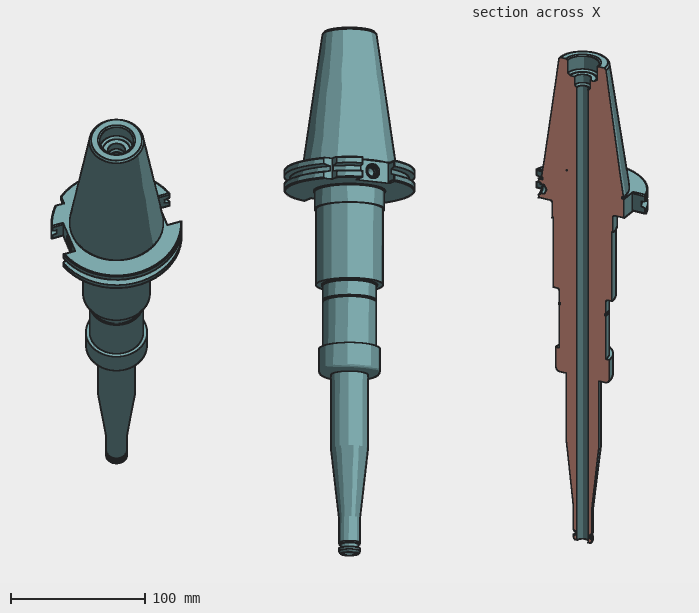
import cadquery as cq
import math

total_length = 397.5
gauge_z = 294.5
collar_z = 294.0
flange_top_z = 292.5
flange_bottom_z = 276.7
shoulder_bottom_z = 263.0
shank_bottom_z = 205.0
neck_line_z = 193.0
nut_top_z = 156.3
nut_bottom_z = 136.5
rod_bottom_z = 80.0
nose_top_z = 27.0
nose_groove_bottom_z = 4.0
nose_groove_top_z = 7.0
nose_lip_z = 8.5
tip_lead_z = 2.0
tip_chamfer_z = 1.0

taper_small_d = 40.5
taper_large_d = 70.0
collar_d = 67.5
flange_d = 97.5
shoulder_d = 52.0
shank_d = 50.0
neck_d = 40.0
nut_d = 45.7
rod_d = 28.0
nose_d = 16.0
tip_lead_d = 15.0
tip_face_d = 13.0

taper_end_break_d = 37.8
taper_end_break_height = 1.5
root_chamfer = 0.8
nut_fillet = 3.5
flange_chamfer = 0.8

neck_groove_width = 1.0
neck_groove_d = 38.5
nose_groove_d = 13.0
nose_lip_d = 15.0
gripper_root_d = 89.0
gripper_root_width = 3.5
gripper_mouth_width = 6.5

slot_width = 26.0
slot_chamfer = 1.0
front_slot_y = -37.5
rear_slot_y = 35.5
notch_corner = -30.5

slot_hole_mouth_d = 11.0
slot_hole_entry_d = 9.0
slot_hole_entry_depth = 1.5
slot_hole_d = 7.0
slot_hole_depth = 4.8
slot_hole_tip_depth = 6.8

mouth_d = 28.0
mouth_depth = 0.8
pilot_d = 25.0
pilot_depth = 11.5
drill_d = 20.5
drill_start_depth = 12.7
drill_depth = 13.0
middle_bore_d = 13.0
middle_bore_depth = 20.0
seat_d = 10.0
seat_depth = 21.5
through_d = 9.0

flange_mid_z = (flange_top_z + flange_bottom_z) / 2
flange_height = flange_top_z - flange_bottom_z


def turned(profile):
    """Revolve a list of (diameter, z) points about the Z axis, closed along the axis."""
    outline = [(0, profile[0][1])]
    outline += [(diameter / 2, z) for diameter, z in profile]
    if profile[-1][0] > 0:
        outline.append((0, profile[-1][1]))
    return cq.Workplane("XZ").polyline(outline).close().revolve(360, (0, 0), (0, 1))


def ring_groove(root_d, z, root_width, mouth_width, outer_d):
    """Ring-shaped cutter centred on height z, narrowing from the outer diameter to the root."""
    return (
        cq.Workplane("XZ")
        .moveTo(root_d / 2, z - root_width / 2)
        .lineTo(outer_d / 2, z - mouth_width / 2)
        .lineTo(outer_d / 2, z + mouth_width / 2)
        .lineTo(root_d / 2, z + root_width / 2)
        .close()
        .revolve(360, (0, 0), (0, 1))
    )


def arbor():
    nut = (
        cq.Workplane("XY", origin=(0, 0, nut_bottom_z))
        .circle(nut_d / 2)
        .extrude(nut_top_z - nut_bottom_z)
        .faces("<Z")
        .edges()
        .fillet(nut_fillet)
    )
    spindle = turned([
        (tip_face_d, 0),
        (tip_lead_d, tip_chamfer_z),
        (nose_d, tip_lead_z),
        (nose_d, nose_groove_bottom_z),
        (nose_groove_d, nose_groove_bottom_z),
        (nose_groove_d, nose_groove_top_z),
        (nose_lip_d, nose_groove_top_z),
        (nose_d, nose_lip_z),
        (nose_d, nose_top_z),
        (rod_d, rod_bottom_z),
        (rod_d, nut_top_z),
        (neck_d, nut_top_z),
        (neck_d, shank_bottom_z - root_chamfer),
        (neck_d + 2 * root_chamfer, shank_bottom_z),
        (shank_d, shank_bottom_z),
        (shank_d, shoulder_bottom_z),
        (shoulder_d, shoulder_bottom_z),
        (shoulder_d, flange_bottom_z - root_chamfer),
        (shoulder_d + 2 * root_chamfer, flange_bottom_z),
        (collar_d, flange_bottom_z),
        (collar_d, collar_z),
        (taper_large_d, collar_z),
        (taper_large_d, gauge_z),
        (taper_small_d, total_length - taper_end_break_height),
        (taper_end_break_d, total_length),
    ])
    neck_groove = ring_groove(neck_groove_d, neck_line_z, neck_groove_width, neck_groove_width, neck_d)
    return spindle.union(nut).cut(neck_groove)


def drive_slot(floor_distance):
    """Cutter for a slot on the +Y side whose side walls are chamfered at the faces and the rim."""
    half = slot_width / 2
    wide = half + slot_chamfer
    rim = flange_d / 2
    rim_at_wall = math.sqrt(rim**2 - half**2)
    half_height = flange_height / 2
    through_faces = (
        cq.Workplane("XZ", origin=(0, floor_distance, flange_mid_z))
        .polyline([
            (-wide, -half_height),
            (wide, -half_height),
            (half, slot_chamfer - half_height),
            (half, half_height - slot_chamfer),
            (wide, half_height),
            (-wide, half_height),
            (-half, half_height - slot_chamfer),
            (-half, slot_chamfer - half_height),
        ])
        .close()
        .extrude(floor_distance - rim)
    )
    rim_flare = (
        cq.Workplane("XY", origin=(0, 0, flange_bottom_z))
        .polyline([
            (-half, rim_at_wall - slot_chamfer),
            (half, rim_at_wall - slot_chamfer),
            (wide, rim_at_wall),
            (wide, rim),
            (-wide, rim),
            (-wide, rim_at_wall),
        ])
        .close()
        .extrude(flange_height)
    )
    return through_faces.union(rim_flare)


def slot_hole():
    mouth_chamfer = (slot_hole_mouth_d - slot_hole_entry_d) / 2
    upright = turned([
        (slot_hole_mouth_d, 0),
        (slot_hole_entry_d, -mouth_chamfer),
        (slot_hole_entry_d, -slot_hole_entry_depth),
        (slot_hole_d, -slot_hole_entry_depth),
        (slot_hole_d, -slot_hole_depth),
        (0, -slot_hole_tip_depth),
    ])
    return upright.rotate((0, 0, 0), (1, 0, 0), 90).translate((0, front_slot_y, flange_mid_z))


def flange():
    disc = (
        cq.Workplane("XY", origin=(0, 0, flange_bottom_z))
        .circle(flange_d / 2)
        .extrude(flange_height)
        .faces("<Z or >Z")
        .edges()
        .chamfer(flange_chamfer)
    )
    gripper_groove = ring_groove(
        gripper_root_d, flange_mid_z, gripper_root_width, gripper_mouth_width, flange_d
    )
    rim = flange_d / 2
    notch_side = rim + notch_corner
    notch_middle = (notch_corner - rim) / 2
    front_slot = drive_slot(-front_slot_y).rotate((0, 0, 0), (0, 0, 1), 180)
    rear_slot = drive_slot(rear_slot_y)
    corner_notch = (
        cq.Workplane("XY", origin=(notch_middle, notch_middle, flange_bottom_z))
        .rect(notch_side, notch_side)
        .extrude(flange_height)
    )
    return disc.cut(gripper_groove).cut(front_slot).cut(rear_slot).cut(corner_notch)


def axial_bore():
    return turned([
        (through_d, 0),
        (through_d, total_length - seat_depth),
        (seat_d, total_length - seat_depth),
        (middle_bore_d, total_length - middle_bore_depth),
        (middle_bore_d, total_length - drill_depth),
        (drill_d, total_length - drill_depth),
        (drill_d, total_length - drill_start_depth),
        (pilot_d, total_length - pilot_depth),
        (pilot_d, total_length - mouth_depth),
        (mouth_d, total_length),
    ])


result = arbor().union(flange()).cut(slot_hole()).cut(axial_bore())